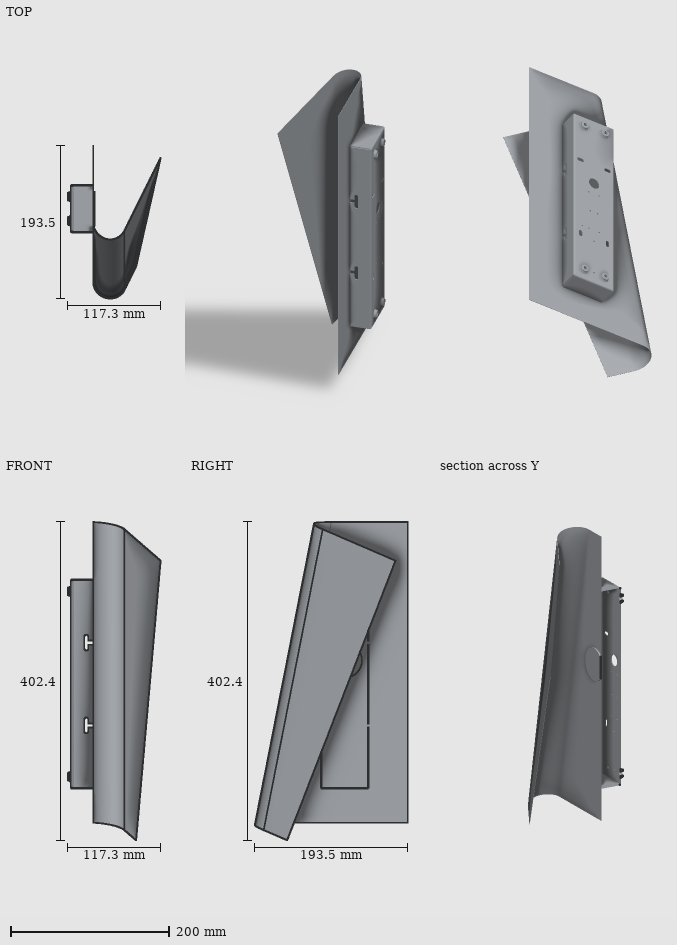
import cadquery as cq
import math

BOX_DEPTH = 28.0
BOX_WIDTH = 60.5
BOX_HEIGHT = 265.0
BOX_WALL = 1.2
BOX_BEND_RADIUS = 2.5

BOSS_BASE_DIAMETER = 13.0
BOSS_COLLAR_DIAMETER = 11.0
BOSS_CONE_HEIGHT = 1.5
BOSS_HEIGHT = 3.5
BOSS_HOLE_DIAMETER = 5.0
BOSS_CHAMFER = 1.0
BOSS_Y = 15.3
BOSS_Z = 117.0
BOSSES_YZ = [(y, z) for y in (-BOSS_Y, BOSS_Y) for z in (-BOSS_Z, BOSS_Z)]

CABLE_HOLE_DIAMETER = 15.3
CABLE_HOLE_Z = 29.8
SCREW_HOLE_DIAMETER = 2.0
SCREW_HOLES_YZ = [
    (-7.5, 13.0),
    (7.5, 13.0),
    (-5.5, -17.5),
    (5.5, -17.5),
    (-7.5, -46.5),
    (7.5, -46.5),
    (17.7, -46.5),
    (0, -64.8),
    (0, -116.0),
]
FLOOR_SLOT_LENGTH = 9.5
FLOOR_SLOT_WIDTH = 5.0
FLOOR_SLOT_Y = 20.0
FLOOR_SLOT_Z = 60.0

T_SLOT_LENGTH = 19.7
T_SLOT_WIDTH = 5.0
T_SLOT_DEPTH = 8.5
T_SLOT_Z = 52.5

PANEL_HEIGHT = 380.3
PANEL_THICKNESS = 0.5
PANEL_TOP_Z = 205.0
PANEL_EDGE_Y = 79.5
PLATE_TOP_WIDTH = 97.0
FLANGE_TOP_WIDTH = 110.3
FOLD_SLANT = math.radians(11.1)
FOLD_ANGLE = math.radians(155)
FOLD_RADIUS = 21.0

DISC_DIAMETER = 43.5
DISC_THICKNESS = 2.0

FOLD_START = cq.Vector(0, PANEL_EDGE_Y - PLATE_TOP_WIDTH, PANEL_TOP_Z)
FOLD_AXIS = cq.Vector(0, -math.sin(FOLD_SLANT), -math.cos(FOLD_SLANT))
FOLD_ACROSS = cq.Vector(0, -math.cos(FOLD_SLANT), math.sin(FOLD_SLANT))
FOLD_SHIFT = PANEL_HEIGHT * math.tan(FOLD_SLANT)
FOLD_CLIMB = FOLD_RADIUS * math.tan(FOLD_SLANT)
X_AXIS = cq.Vector(1, 0, 0)


def fold_point(angle):
    """Where the sheet's top edge lies on the outer face after turning by the angle."""
    inward = X_AXIS * (FOLD_RADIUS * (1 - math.cos(angle)))
    across = FOLD_ACROSS * (FOLD_RADIUS * math.sin(angle))
    return FOLD_START + inward + across + FOLD_AXIS * (FOLD_CLIMB * angle)


def sheet_plane(angle):
    """Outer face after the angle: x along the sheet's top edge, y down the sheet, normal inwards."""
    across = X_AXIS * math.sin(angle) + FOLD_ACROSS * math.cos(angle)
    top_edge = across * math.cos(FOLD_SLANT) + FOLD_AXIS * math.sin(FOLD_SLANT)
    return cq.Plane(fold_point(angle), top_edge, across.cross(FOLD_AXIS))


def flat_panel_part(angle, free_edge):
    """Flat piece of the sheet between the slanted fold line and a straight free edge."""
    outline = [(0, 0), (free_edge, 0), (free_edge, PANEL_HEIGHT), (FOLD_SHIFT, PANEL_HEIGHT)]
    return cq.Workplane(sheet_plane(angle)).polyline(outline).close().extrude(PANEL_THICKNESS)


def fold():
    """Cylindrical bend whose ends follow the sheet's straight edges as helices."""
    fold_length = PANEL_HEIGHT / math.cos(FOLD_SLANT)
    section = cq.Wire.makePolygon(
        [
            cq.Vector(FOLD_RADIUS, 0, 0),
            cq.Vector(FOLD_RADIUS - PANEL_THICKNESS, 0, 0),
            cq.Vector(FOLD_RADIUS - PANEL_THICKNESS, 0, fold_length),
            cq.Vector(FOLD_RADIUS, 0, fold_length),
        ],
        close=True,
    )
    path = cq.Wire.makeHelix(
        2 * math.pi * FOLD_CLIMB, FOLD_ANGLE * FOLD_CLIMB, FOLD_RADIUS, lefthand=True
    )
    bend = cq.Solid.sweep(section, [], path, makeSolid=True, isFrenet=True)
    centre = FOLD_START + X_AXIS * FOLD_RADIUS
    return cq.Workplane(bend.moved(cq.Location(cq.Plane(centre, X_AXIS * -1, FOLD_AXIS))))


def make_panel():
    plate = flat_panel_part(0, -PLATE_TOP_WIDTH)
    flange = flat_panel_part(FOLD_ANGLE, FLANGE_TOP_WIDTH)
    return plate.union(fold()).union(flange)


def box_shell():
    """Pan with rounded folds around its floor and square notches where its walls meet."""
    pan = cq.Workplane("YZ").rect(BOX_WIDTH, BOX_HEIGHT).extrude(-BOX_DEPTH)
    pan = pan.faces("<X").edges().fillet(BOX_BEND_RADIUS)
    cavity = (
        cq.Workplane("YZ")
        .rect(BOX_WIDTH - 2 * BOX_WALL, BOX_HEIGHT - 2 * BOX_WALL)
        .extrude(BOX_WALL - BOX_DEPTH)
        .faces("<X")
        .edges()
        .fillet(BOX_BEND_RADIUS - BOX_WALL)
    )
    notches = (
        cq.Workplane("YZ")
        .rect(BOX_WIDTH, BOX_HEIGHT, forConstruction=True)
        .vertices()
        .rect(2 * BOX_WALL, 2 * BOX_WALL)
        .extrude(-BOX_DEPTH)
    )
    return pan.cut(cavity).cut(notches)


def boss(y, z):
    """One solid boss turned about an axis along X."""
    base = BOSS_BASE_DIAMETER / 2
    collar = BOSS_COLLAR_DIAMETER / 2
    half_section = [
        (0, 0),
        (0, base),
        (-BOSS_CONE_HEIGHT, collar),
        (BOSS_CHAMFER - BOSS_HEIGHT, collar),
        (-BOSS_HEIGHT, collar - BOSS_CHAMFER),
        (-BOSS_HEIGHT, 0),
    ]
    turned = cq.Workplane("XY").polyline(half_section).close().revolve(360, (0, 0), (1, 0))
    return turned.translate((-BOX_DEPTH, y, z))


def floor_openings():
    """Cutters running along X from the boss tops through the box floor."""
    depth = BOSS_HEIGHT + BOX_WALL
    start = cq.Workplane("YZ", origin=(-BOX_DEPTH - BOSS_HEIGHT, 0, 0))
    boss_holes = start.pushPoints(BOSSES_YZ).circle(BOSS_HOLE_DIAMETER / 2).extrude(depth)
    cable_hole = start.center(0, CABLE_HOLE_Z).circle(CABLE_HOLE_DIAMETER / 2).extrude(depth)
    screw_holes = start.pushPoints(SCREW_HOLES_YZ).circle(SCREW_HOLE_DIAMETER / 2).extrude(depth)
    openings = boss_holes.union(cable_hole).union(screw_holes)
    for z, angle in [(FLOOR_SLOT_Z, 0), (-FLOOR_SLOT_Z, 90)]:
        pair = start.pushPoints([(-FLOOR_SLOT_Y, z), (FLOOR_SLOT_Y, z)])
        slots = pair.slot2D(FLOOR_SLOT_LENGTH, FLOOR_SLOT_WIDTH, angle).extrude(depth)
        openings = openings.union(slots)
    return openings


def t_slot(z):
    """T-shaped cutter across the whole box width."""
    bar = (
        cq.Workplane("XZ", origin=(-T_SLOT_DEPTH, 0, z))
        .slot2D(T_SLOT_LENGTH, T_SLOT_WIDTH, 90)
        .extrude(BOX_WIDTH / 2, both=True)
    )
    stem = cq.Workplane("XY").box(T_SLOT_DEPTH, BOX_WIDTH, T_SLOT_WIDTH)
    return bar.union(stem.translate((-T_SLOT_DEPTH / 2, 0, z)))


def make_box():
    box = box_shell()
    for y, z in BOSSES_YZ:
        box = box.union(boss(y, z))
    box = box.cut(floor_openings())
    for z in (-T_SLOT_Z, T_SLOT_Z):
        box = box.cut(t_slot(z))
    return box


def make_disc():
    seat = cq.Workplane("YZ", origin=(PANEL_THICKNESS, 0, CABLE_HOLE_Z))
    return seat.circle(DISC_DIAMETER / 2).extrude(DISC_THICKNESS)


panel = make_panel()
box = make_box()
disc = make_disc()

result = cq.Compound.makeCompound([panel.solids().val(), box.solids().val(), disc.val()])